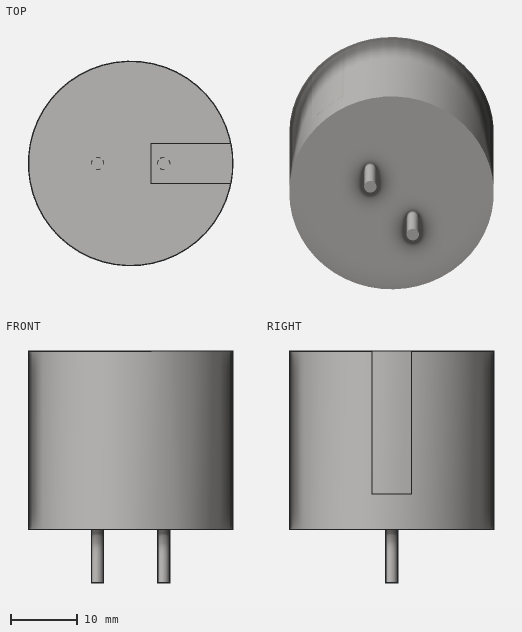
import cadquery as cq

total_height = 35.12
can_diameter = 30.98
pin_length = 8.08
pin_diameter = 1.85
pin_spacing = 10.0

stripe_width = 6.05
stripe_start_x = 3.1
stripe_drop = 21.65
stripe_thickness = 0.01

can_radius = can_diameter / 2
can_height = total_height - stripe_thickness - pin_length


def make_cylinder(radius, height):
    """Upright cylinder that starts at the can's bottom face."""
    return cq.Workplane("XY").workplane(offset=pin_length).circle(radius).extrude(height)


def make_stripe(can):
    """L-shaped film that runs along the can's top and bends down its curved side."""
    band_length = can_radius + stripe_thickness - stripe_start_x
    band = cq.Workplane("XY").box(band_length, stripe_width, stripe_drop, centered=(False, True, False))
    band = band.translate((stripe_start_x, 0, total_height - stripe_drop))
    film_envelope = make_cylinder(can_radius + stripe_thickness, can_height + stripe_thickness)
    return film_envelope.intersect(band).cut(can)


def make_pin(x):
    """Round lead that ends on the can's bottom face."""
    return cq.Workplane("XY").center(x, 0).circle(pin_diameter / 2).extrude(pin_length)


can = make_cylinder(can_radius, can_height)
stripe = make_stripe(can)
pins = [make_pin(side * pin_spacing / 2) for side in (-1, 1)]

result = cq.Compound.makeCompound([can.val(), *stripe.vals(), *[pin.val() for pin in pins]])